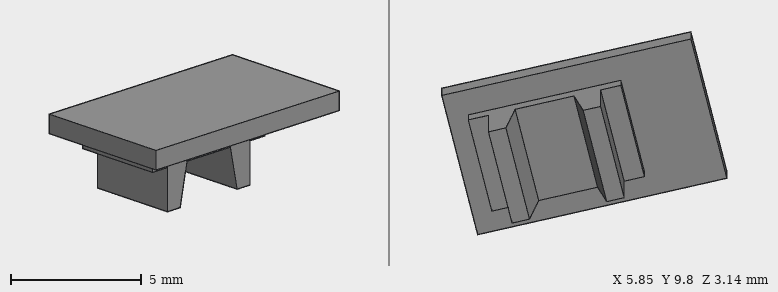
import cadquery as cq

plate_width = 5.85
plate_length = 9.8
plate_thickness = 0.79
total_height = 3.14

pad_width = 3.83
pad_length = 6.0
pad_thickness = 0.55
pad_center_y = -1.1

leg_span = 4.41
leg_root = 1.05
leg_tip = 0.69

plate_bottom = total_height - plate_thickness
pad_bottom = plate_bottom - pad_thickness


def block(width, length, height, center_y, bottom):
    """Box centred in X that stands on the given height."""
    return (
        cq.Workplane("XY", origin=(0, center_y, bottom))
        .box(width, length, height, centered=(True, True, False))
    )


def leg(side):
    """Leg on the +Y (side = 1) or -Y (side = -1) end, tapered on its inner face."""
    outer_y = pad_center_y + side * leg_span / 2
    profile = [
        (outer_y, pad_bottom),
        (outer_y, 0),
        (outer_y - side * leg_tip, 0),
        (outer_y - side * leg_root, pad_bottom),
    ]
    return cq.Workplane("YZ").polyline(profile).close().extrude(pad_width / 2, both=True)


plate = block(plate_width, plate_length, plate_thickness, 0, plate_bottom)
pad = block(pad_width, pad_length, pad_thickness, pad_center_y, pad_bottom)

result = plate.union(pad)
for side in (-1, 1):
    result = result.union(leg(side))